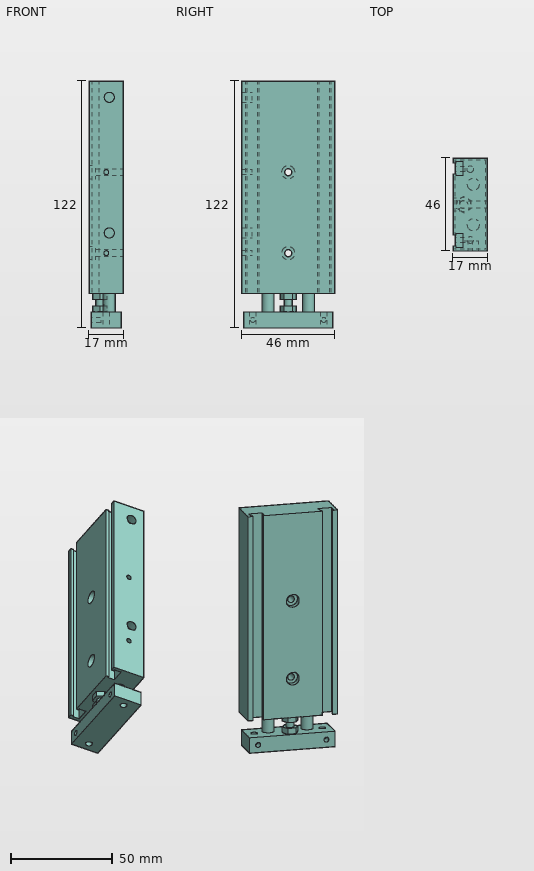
import cadquery as cq
import math

housing_depth = 17.0
housing_width = 46.0
overall_height = 122.0
housing_bottom = 17.0
housing_height = overall_height - housing_bottom
mid_x = housing_depth / 2

slot_offset = 17.8
slot_mouth_width = 5.3
slot_inner_width = 6.8
slot_lip = 1.5
slot_depth = 5.0

mount_heights = (37.0, 77.0)
mount_hole_diameter = 3.4
counterbore_diameter = 6.5
counterbore_depth = 3.3
tapped_diameter = 2.46
side_tap_depth = 5.0

port_heights = (47.0, 114.0)
port_x = 10.0
port_diameter = 5.0
port_depth = 5.0

plate_depth = 15.0
plate_width = 44.0
plate_height = 8.0
plate_hole_offset = 17.5
plate_hole_diameter = 3.3
plate_tap_depth = 5.0
rod_diameter = 6.0
rod_x = 10.0
rod_offset = 10.0

bolt_x = 5.3
bolt_diameter = 4.0
hex_sides = 6
hex_across_flats = 7.0
hex_across_corners = hex_across_flats / math.cos(math.pi / hex_sides)
hex_thickness = 3.0
hex_chamfer_angle = 30.0
hex_chamfer_inset = (hex_across_corners - hex_across_flats) / 2
hex_chamfer_height = hex_chamfer_inset * math.tan(math.radians(hex_chamfer_angle))


def cylinder_x(diameter, length, x, y, z):
    """Cylinder running toward +X from the given point."""
    plane = cq.Plane(origin=(x, y, z), xDir=(0, 1, 0), normal=(1, 0, 0))
    return cq.Workplane(plane).circle(diameter / 2).extrude(length)


def cylinder_y(diameter, length, x, y, z):
    """Cylinder running toward +Y from the given point."""
    plane = cq.Plane(origin=(x, y, z), xDir=(1, 0, 0), normal=(0, 1, 0))
    return cq.Workplane(plane).circle(diameter / 2).extrude(length)


def cylinder_z(diameter, length, x, y, z):
    """Cylinder running toward +Z from the given point."""
    return cq.Workplane(origin=(x, y, z)).circle(diameter / 2).extrude(length)


def box_at(depth, width, height, x, z, y=0.0):
    """Box starting at x and z, centred on y."""
    return cq.Workplane(origin=(x, y, z)).box(depth, width, height, centered=(False, True, False))


def make_t_slot(y):
    """T-slot cutter: a narrow mouth that opens into a wider channel."""
    mouth = box_at(slot_depth, slot_mouth_width, housing_height, 0, housing_bottom, y)
    channel = box_at(
        slot_depth - slot_lip, slot_inner_width, housing_height, slot_lip, housing_bottom, y
    )
    return mouth.union(channel)


def make_housing():
    housing = box_at(housing_depth, housing_width, housing_height, 0, housing_bottom)
    for side in (-1, 1):
        housing = housing.cut(make_t_slot(side * slot_offset))
    side_y = -housing_width / 2
    for z in mount_heights:
        housing = housing.cut(cylinder_x(mount_hole_diameter, housing_depth, 0, 0, z))
        housing = housing.cut(cylinder_x(counterbore_diameter, counterbore_depth, 0, 0, z))
        housing = housing.cut(cylinder_y(tapped_diameter, side_tap_depth, mid_x, side_y, z))
    for z in port_heights:
        housing = housing.cut(cylinder_y(port_diameter, port_depth, port_x, side_y, z))
    return housing


def make_rod_plate():
    """End plate with two guide rods that reach up to the housing."""
    plate_x = mid_x - plate_depth / 2
    rod_length = housing_bottom - plate_height
    plate = box_at(plate_depth, plate_width, plate_height, plate_x, 0)
    for side in (-1, 1):
        hole_y = side * plate_hole_offset
        plate = plate.cut(cylinder_z(plate_hole_diameter, plate_height, mid_x, hole_y, 0))
        plate = plate.cut(
            cylinder_x(tapped_diameter, plate_tap_depth, plate_x, hole_y, plate_height / 2)
        )
        plate = plate.union(
            cylinder_z(rod_diameter, rod_length, rod_x, side * rod_offset, plate_height)
        )
    return plate


def make_hexagon(z):
    """Hexagon with flats facing -X and +X."""
    plane = cq.Plane(origin=(bolt_x, 0, z), xDir=(0, 1, 0), normal=(0, 0, 1))
    return cq.Workplane(plane).polygon(hex_sides, hex_across_corners).extrude(hex_thickness)


def make_chamfer_envelope(z):
    """Round blank whose coned lower end trims the bottom corners of a hexagon."""
    blank = cylinder_z(hex_across_corners, hex_thickness, bolt_x, 0, z)
    return blank.faces("<Z").chamfer(hex_chamfer_height, hex_chamfer_inset)


def make_stop_bolt():
    """Threaded stem with a lock nut on the plate and a head against the housing."""
    stem = cylinder_z(bolt_diameter, housing_bottom - plate_height, bolt_x, 0, plate_height)
    lock_nut = make_hexagon(plate_height).intersect(make_chamfer_envelope(plate_height))
    head = make_hexagon(housing_bottom - hex_thickness)
    return stem.union(lock_nut).union(head)


housing = make_housing()
rod_plate = make_rod_plate()
stop_bolt = make_stop_bolt()

result = cq.Compound.makeCompound([housing.val(), rod_plate.val(), stop_bolt.val()])